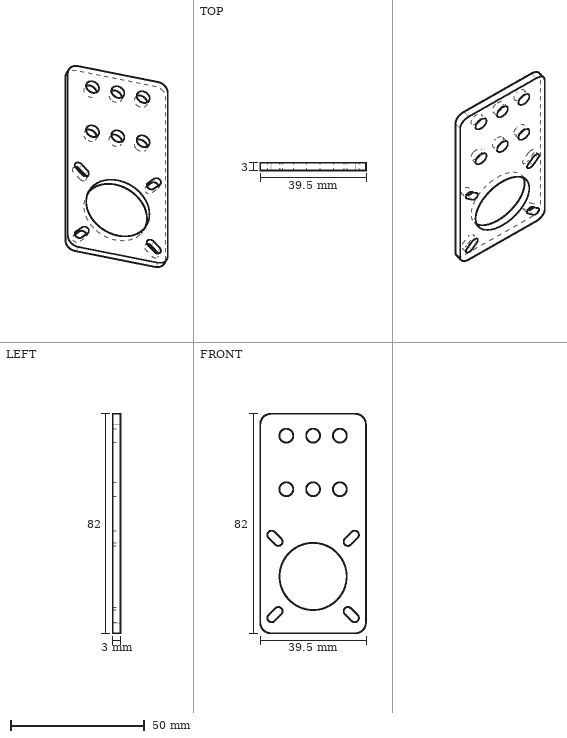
import cadquery as cq
import math

plate_width = 39.5
plate_thickness = 3.0
plate_height = 82.0
corner_radius = 4.0

bore_diameter = 25.0
bore_height = 21.25
slot_width = 3.1
slot_angle = 45.0
slot_inner_offset = 13.0
slot_outer_offset = 15.5

bolt_diameter = 5.1
bolt_columns = 3
bolt_rows = 2
bolt_column_pitch = 10.0
bolt_row_pitch = 20.0
top_row_inset = 8.2

bore_z = bore_height - plate_height / 2
bolt_grid_z = plate_height / 2 - top_row_inset - bolt_row_pitch / 2

slot_offset = (slot_inner_offset + slot_outer_offset) / 2
slot_length = (slot_outer_offset - slot_inner_offset) * math.sqrt(2) + slot_width


def make_plate():
    """Flat plate with rounded corners, centred on the origin."""
    plate = cq.Workplane("XY").box(plate_width, plate_thickness, plate_height)
    return plate.edges("|Y").fillet(corner_radius)


def cut_bore(body):
    """Large round opening through the lower half."""
    return body.faces("<Y").workplane(origin=(0, 0, bore_z)).hole(bore_diameter)


def cut_slots(body):
    """Four through slots pointing radially away from the bore axis."""
    for side_x in (-1, 1):
        for side_z in (-1, 1):
            body = (
                body.faces("<Y")
                .workplane(origin=(0, 0, bore_z))
                .center(side_x * slot_offset, side_z * slot_offset)
                .slot2D(slot_length, slot_width, angle=slot_angle * side_x * side_z)
                .cutThruAll()
            )
    return body


def cut_bolt_holes(body):
    """Rectangular grid of through holes in the upper half."""
    return (
        body.faces("<Y")
        .workplane(origin=(0, 0, bolt_grid_z))
        .rarray(bolt_column_pitch, bolt_row_pitch, bolt_columns, bolt_rows)
        .hole(bolt_diameter)
    )


result = cut_bolt_holes(cut_slots(cut_bore(make_plate())))